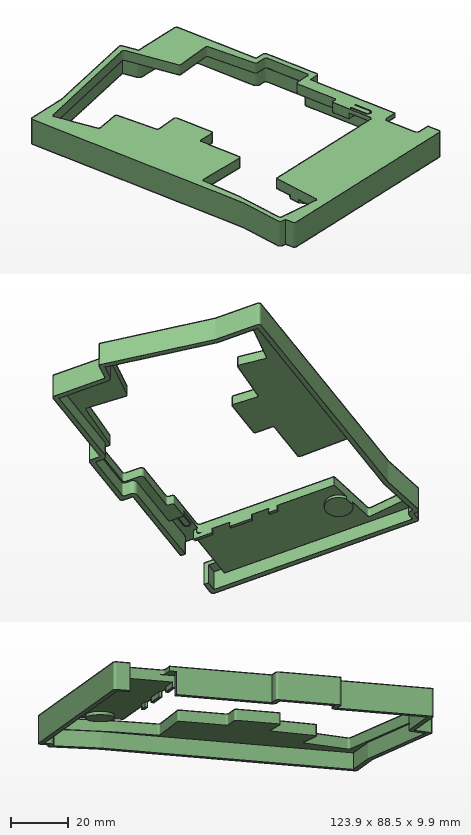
import cadquery as cq
import math

case_height = 9.9
plate_thickness = 4.0
wall = 1.8

body_width = 116.6
body_depth = 81.4
body_left = -0.3

pinky_tilt = math.tan(math.radians(10))
thumb_tilt = math.tan(math.radians(8))

bump_left = 35.0
bump_right = 58.9
bump_back = 86.1

notch_left = 96.3
notch_right = 110.8
notch_front = 75.5

lobe_left = -7.39
lobe_back = 59.3

thumb_start = 93.9
thumb_end = 112.2
thumb_front = -(thumb_end - thumb_start) * thumb_tilt

window_right = 92.3
window_back = 73.8

outer_radius = 1.0
thumb_radius = 1.2
lobe_radius = 0.7
cavity_radius = 0.8
notch_radius = 1.4
window_radius = 0.8
window_wide_radius = 1.2

thin_plate = 1.7
thin_left = 81.9

port_left = 93.8
port_right = notch_right

slit_left = thin_left
slit_center_x = 88.3
slit_center_y = 76.1
slit_radius = 1.25
slit_width = 0.4

tabs = [(42.9, 46.2), (52.9, 61.4), (68.4, notch_front)]
tab_drop = 1.9
tab_thickness = 1.0

boss_x = 101.9
boss_y = 23.8
boss_radius = 5.0
boss_drop = 1.2

plate_bottom = case_height - plate_thickness
thin_bottom = case_height - thin_plate


def box(left, right, front, back, bottom, top):
    """Block between six planes."""
    size = (right - left, back - front, top - bottom)
    return cq.Workplane("XY").box(*size, centered=False).translate((left, front, bottom))


def rounded_outline(corners):
    """Closed wire through (x, y, radius) corners; radius 0 keeps a corner sharp."""
    arcs = []
    for i, (x, y, radius) in enumerate(corners):
        corner = cq.Vector(x, y)
        before = cq.Vector(*corners[i - 1][:2])
        after = cq.Vector(*corners[(i + 1) % len(corners)][:2])
        to_before = (before - corner).normalized()
        to_after = (after - corner).normalized()
        half_angle = to_before.getAngle(to_after) / 2
        setback = radius / math.tan(half_angle)
        bisector = (to_before + to_after).normalized()
        middle = corner + bisector * (radius / math.sin(half_angle) - radius)
        arcs.append((corner + to_before * setback, middle, corner + to_after * setback, radius))

    first_end = arcs[0][2]
    outline = cq.Workplane("XY").moveTo(first_end.x, first_end.y)
    for start, middle, end, radius in arcs[1:] + arcs[:1]:
        outline = outline.lineTo(start.x, start.y)
        if radius > 0:
            outline = outline.threePointArc((middle.x, middle.y), (end.x, end.y))
    return outline.close()


def case_corners(with_notch):
    """Corners of the case, counterclockwise from the front left."""
    lobe_corner_y = lobe_back + (body_left - lobe_left) * pinky_tilt
    lobe_front = lobe_back + lobe_left / pinky_tilt
    notch = [
        (notch_right, body_depth, 0),
        (notch_right, notch_front, notch_radius),
        (notch_left, notch_front, notch_radius),
        (notch_left, body_depth, 0),
    ]
    front_and_right = [
        (0, 0, outer_radius),
        (thumb_start, 0, 0),
        (thumb_end, thumb_front, thumb_radius),
        (thumb_end - thumb_front * thumb_tilt, 0, 0),
        (body_width, 0, outer_radius),
        (body_width, body_depth, outer_radius),
    ]
    back_and_left = [
        (bump_right, body_depth, 0),
        (bump_right, bump_back, outer_radius),
        (bump_left, bump_back, outer_radius),
        (bump_left, body_depth, 0),
        (body_left, body_depth, outer_radius),
        (body_left, lobe_corner_y, 0),
        (lobe_left, lobe_back, lobe_radius),
        (0, lobe_front, 0),
    ]
    return front_and_right + (notch if with_notch else []) + back_and_left


def make_window():
    """Opening for the keys, through the full height."""
    small = window_radius
    wide = window_wide_radius
    corners = [
        (-4.6, 57.3, small),
        (17.4, 61.2, small),
        (16.4, 77.3, small),
        (37.3, 78.5, small),
        (37.3, 83.8, small),
        (56.5, 83.8, small),
        (56.5, 76.3, wide),
        (74.4, 76.3, small),
        (74.4, window_back, small),
        (window_right, window_back, wide),
        (window_right, 20.4, 0),
        (112.6, 17.7, small),
        (110.3, -0.1, small),
        (89.8, 2.7, 0),
        (73.1, 3.4, small),
        (73.6, 24.3, small),
        (55.4, 24.3, small),
        (55.4, 31.9, small),
        (38.6, 31.9, small),
        (39.2, 21.5, small),
        (21.4, 20.5, small),
        (22.9, 9.5, small),
        (4.7, 6.1, small),
    ]
    return rounded_outline(corners).extrude(case_height)


def make_cavity():
    """Hollow below the plate, open at the bottom, inside an even outer wall."""
    cavity = rounded_outline(case_corners(False)).offset2D(-wall).extrude(plate_bottom)
    for x in (bump_left + wall, bump_right - wall):
        cavity = cavity.edges(cq.NearestToPointSelector((x, bump_back - wall, plate_bottom / 2)))
        cavity = cavity.fillet(cavity_radius)
    return cavity


def make_thin_pocket():
    """Deeper hollow below the button tongue and around the notch."""
    inner_back = body_depth - wall
    button = box(thin_left, window_right, window_back, inner_back, 0, thin_bottom)
    port = box(window_right, body_width - wall, notch_front, inner_back, 0, thin_bottom)
    return button.union(port)


def make_port():
    """Opening through the back wall for the connector."""
    return box(port_left, port_right, body_depth - wall, body_depth, 0, thin_bottom)


def make_slit():
    """Narrow U-shaped cut through the thin plate around the button tongue."""
    outer = slit_radius + slit_width / 2
    inner = slit_radius - slit_width / 2

    def tongue(radius):
        straight = box(slit_left, slit_center_x, slit_center_y - radius, slit_center_y + radius,
                       thin_bottom, case_height)
        tip = cq.Workplane("XY", origin=(slit_center_x, slit_center_y, thin_bottom))
        return straight.union(tip.circle(radius).extrude(thin_plate))

    return tongue(outer).cut(tongue(inner))


def make_boss():
    """Shallow round boss under the plate."""
    base = cq.Workplane("XY", origin=(boss_x, boss_y, plate_bottom - boss_drop))
    return base.circle(boss_radius).extrude(boss_drop)


def make_tab(front, back):
    """Tab flush with the right edge of the window."""
    return box(window_right, window_right + tab_thickness, front, back, plate_bottom - tab_drop, plate_bottom)


result = rounded_outline(case_corners(True)).extrude(case_height)
result = result.cut(make_cavity()).cut(make_thin_pocket()).cut(make_port())
result = result.union(make_boss())
for front, back in tabs:
    result = result.union(make_tab(front, back))
result = result.cut(make_window()).cut(make_slit())